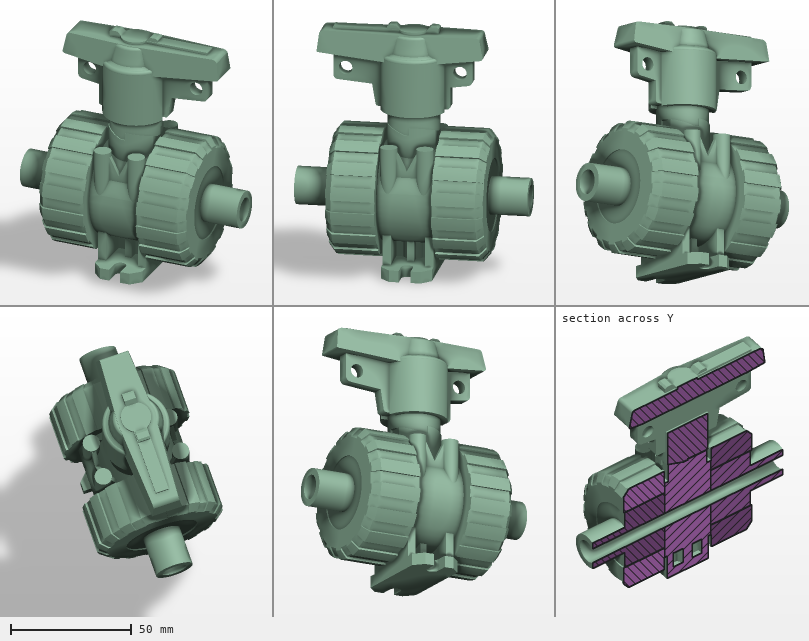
import cadquery as cq
import math

overall_length = 98.0
bore_radius = 5.2
pipe_radius = 8.0
barrel_radius = 21.0
barrel_half_length = 12.0

nut_length = 21.1
nut_ridge_radius = 27.7
nut_floor_radius = 26.6
nut_bevel_length = 2.7
nut_bevel_depth = 3.4
nut_groove_count = 16
nut_groove_width = 5.2

collar_radius = 15.5
collar_recess = 0.6

neck_radius = 11.5
neck_half_width = 10.1
tooth_count = 4
tooth_low = 27.5
tooth_high = 30.7
tooth_flat = 2.3

post_radius = 3.6
post_x = 7.6
post_y = 16.9
post_top = 23.7
web_thickness = 1.9
web_top = 21.5
web_notch_bottom = 13.7
gusset_angle = 67
gusset_thickness = 1.7
gusset_reach = 6.3

foot_bottom = -33.0
foot_thickness = 4.9
foot_half_x = 10.7
foot_half_y = 22.0
foot_corner = 4.1
foot_slot_radius = 2.5
foot_slot_y = 16.2
foot_wall_thickness = 3.6
foot_wall_half_y = 14.4
foot_boss_radius = 4.3
foot_rib_half_thickness = 1.5
foot_rib_half_y = 8.1

sleeve_radius = 11.0
sleeve_top = 47.7
hub_radius = 14.0
hub_bottom = 35.9
hub_straight_top = 58.9
shoulder_radius = 12.7
shoulder_top = 60.5
dome_base_radius = 11.4
dome_base = 61.4
dome_crown_radius = 9.7
dome_crown = 68.2
dome_top_radius = 8.2
dome_top = 69.1
fin_gap_half = 3.6
fin_gap_top = 59.4

grip_top = 69.3
grip_end_bottom = 60.2
grip_mid_bottom = 56.9
grip_left_bottom, grip_left_top = -30.3, -28.4
grip_right_bottom, grip_right_top = 40.3, 38.8
grip_half_width = 9.5
grip_narrowing = 0.062
grip_draft = 7
grip_left_round, grip_right_round = 1.5, 2.3
grip_bottom_round = 1.0

fin_half_thickness = 2.6
fin_left, fin_right = -25.0, 33.4
fin_bottom_outer = 47.7
fin_bottom_inner = 46.4
fin_foot_bottom = 36.9
fin_foot_left, fin_foot_right = -15.7, 15.6
fin_foot_right_top = 17.1
fin_round = 2.1
fin_foot_round = 1.3
fin_hole_left, fin_hole_right = -19.8, 28.3
fin_hole_z = 52.8
fin_hole_radius = 2.8

disc_radius = 6.3
mark_top = 70.5
lug_top = 72.1
lug_inner, lug_inner_top = 5.6, 7.4
lug_outer_top, lug_outer = 9.9, 10.8
lug_bevel = 0.6
lug_half_width = 2.5
pointer_half_width = 2.8

nut_outer_face = barrel_half_length + nut_length
collar_face = nut_outer_face - collar_recess
foot_top = foot_bottom + foot_thickness
grip_height = grip_top - grip_mid_bottom


def x_cylinder(radius, start, end):
    return cq.Workplane("YZ").workplane(offset=start).circle(radius).extrude(end - start)


def z_cylinder(radius, start, end, x=0, y=0):
    return cq.Workplane("XY").workplane(offset=start).center(x, y).circle(radius).extrude(end - start)


def block(half_x, half_y, start, end):
    """Box centred on the Z axis between two heights."""
    return cq.Workplane("XY").workplane(offset=start).rect(2 * half_x, 2 * half_y).extrude(end - start)


def xz_prism(outline, half_y):
    """Closed outline in XZ, extruded to both sides of the XZ plane."""
    return cq.Workplane("XZ").polyline(outline).close().extrude(half_y, both=True)


def tooth_wedges():
    """Sawtooth ramps around Z, one per quadrant, each dropping to a short flat and a step."""
    reach = neck_radius
    ramp = (
        cq.Workplane("XZ")
        .polyline([(-tooth_flat, tooth_low), (-reach, tooth_low), (-reach, tooth_high)])
        .close()
        .extrude(reach)
    )
    wedges = ramp
    for i in range(1, tooth_count):
        wedges = wedges.union(ramp.rotate((0, 0, 0), (0, 0, 1), i * 360 / tooth_count))
    return wedges


def neck():
    column = z_cylinder(neck_radius, 0, tooth_low)
    teeth = tooth_wedges().intersect(z_cylinder(neck_radius, tooth_low, tooth_high))
    return column.union(teeth).intersect(block(neck_half_width, neck_radius, 0, tooth_high))


def guard_web():
    """Wall between the two posts on the +Y side, with a V notch in its top edge."""
    notched = [
        (-post_x, 0),
        (post_x, 0),
        (post_x, web_top),
        (post_x - post_radius, web_top),
        (0, web_notch_bottom),
        (post_radius - post_x, web_top),
        (-post_x, web_top),
    ]
    return xz_prism(notched, web_thickness / 2).translate((0, post_y, 0))


def gusset():
    """Small sloped rib leaving the post at (+X, +Y), with the slope of the notch between posts."""
    slope = (web_top - web_notch_bottom) / (post_x - post_radius)
    outline = [
        (0, 0),
        (gusset_reach, 0),
        (gusset_reach, web_top - slope * (gusset_reach - post_radius)),
        (post_radius, web_top),
        (0, web_top),
    ]
    rib = xz_prism(outline, gusset_thickness / 2).rotate((0, 0, 0), (0, 0, 1), -gusset_angle)
    return rib.translate((post_x, post_y, 0))


def guards():
    """Four posts with their ribs, joined in pairs by the notched webs."""
    post = z_cylinder(post_radius, 0, post_top, post_x, post_y).union(gusset())
    pair = post.union(post.mirror("YZ")).union(guard_web())
    return pair.union(pair.mirror("XZ"))


def foot():
    plate = block(foot_half_x, foot_half_y, foot_bottom, foot_top).edges("|Z").chamfer(foot_corner)
    for side in (-1, 1):
        slot = z_cylinder(foot_slot_radius, foot_bottom, foot_top, 0, side * foot_slot_y)
        mouth = block(foot_slot_radius, foot_slot_radius * 2, foot_bottom, foot_top)
        mouth = mouth.translate((0, side * (foot_slot_y + foot_slot_radius * 2), 0))
        plate = plate.cut(slot).cut(mouth)

    wall = block(foot_wall_thickness / 2, foot_wall_half_y, foot_top, 0)
    wall_x = foot_half_x - foot_wall_thickness / 2
    cross_rib = block(foot_half_x, foot_rib_half_thickness, foot_top, 0)
    long_rib = block(foot_rib_half_thickness, foot_rib_half_y, foot_top, 0)
    return (
        plate.union(wall.translate((wall_x, 0, 0)))
        .union(wall.translate((-wall_x, 0, 0)))
        .union(cross_rib)
        .union(long_rib)
        .union(z_cylinder(foot_boss_radius, foot_top, 0))
    )


def make_body():
    barrel = x_cylinder(barrel_radius, -barrel_half_length, barrel_half_length)
    solid = barrel.union(neck()).union(guards()).union(foot())
    return solid.cut(x_cylinder(bore_radius, -barrel_half_length, barrel_half_length))


def nut_blank(radius):
    """Solid nut turned about X, bevelled at its outer end."""
    outline = [
        (barrel_half_length, 0),
        (barrel_half_length, radius),
        (nut_outer_face - nut_bevel_length, radius),
        (nut_outer_face, radius - nut_bevel_depth),
        (nut_outer_face, 0),
    ]
    return cq.Workplane("XY").polyline(outline).close().revolve(360, (0, 0, 0), (1, 0, 0))


def make_nut():
    """Nut on the +X side: ridged rim with flat-sided grooves between the ridges."""
    groove = cq.Workplane("XY").box(
        nut_length, nut_groove_width, nut_ridge_radius, centered=(False, True, False)
    ).translate((barrel_half_length, 0, pipe_radius))
    ridged = nut_blank(nut_ridge_radius)
    for i in range(nut_groove_count):
        ridged = ridged.cut(groove.rotate((0, 0, 0), (1, 0, 0), i * 360 / nut_groove_count))
    nut = ridged.union(nut_blank(nut_floor_radius))
    return nut.cut(x_cylinder(collar_radius, barrel_half_length, nut_outer_face))


def make_connector():
    """Connector on the +X side: collar inside the nut and a pipe stub."""
    collar = x_cylinder(collar_radius, barrel_half_length, collar_face)
    stub = x_cylinder(pipe_radius, barrel_half_length, overall_length / 2)
    return collar.union(stub).cut(x_cylinder(bore_radius, barrel_half_length, overall_length / 2))


def hub():
    """Turned hub with rounded shoulder and conical dome."""
    diagonal = math.sqrt(0.5)
    shoulder_mid = (
        shoulder_radius + (hub_radius - shoulder_radius) * diagonal,
        hub_straight_top + (shoulder_top - hub_straight_top) * diagonal,
    )
    crown_mid = (
        dome_top_radius + (dome_crown_radius - dome_top_radius) * diagonal,
        dome_crown + (dome_top - dome_crown) * diagonal,
    )
    return (
        cq.Workplane("XZ")
        .moveTo(0, hub_bottom)
        .lineTo(hub_radius, hub_bottom)
        .lineTo(hub_radius, hub_straight_top)
        .threePointArc(shoulder_mid, (shoulder_radius, shoulder_top))
        .lineTo(dome_base_radius, dome_base)
        .lineTo(dome_crown_radius, dome_crown)
        .threePointArc(crown_mid, (dome_top_radius, dome_top))
        .lineTo(0, dome_top)
        .close()
        .revolve(360, (0, 0, 0), (0, 1, 0))
    )


def grip():
    """Drafted bar, widest over the hub, with a shallow V underside."""
    reach = grip_right_bottom
    end_half_width = grip_half_width - grip_narrowing * reach
    plan = (
        cq.Workplane("XY")
        .workplane(offset=grip_mid_bottom)
        .polyline(
            [
                (-reach, -end_half_width),
                (0, -grip_half_width),
                (reach, -end_half_width),
                (reach, end_half_width),
                (0, grip_half_width),
                (-reach, end_half_width),
            ]
        )
        .close()
    )
    bar = plan.extrude(grip_height, taper=grip_draft)
    profile = xz_prism(
        [
            (grip_left_bottom, grip_end_bottom),
            (0, grip_mid_bottom),
            (grip_right_bottom, grip_end_bottom),
            (grip_right_top, grip_top),
            (grip_left_top, grip_top),
        ],
        grip_half_width,
    )
    profile = profile.edges("|Y").edges(">Z").edges("<X").fillet(grip_left_round)
    profile = profile.edges("|Y").edges(">Z").edges(">X").fillet(grip_right_round)
    profile = profile.edges("|Y").edges("<X or >X").fillet(grip_bottom_round)
    return bar.intersect(profile)


def fin():
    """Flat plate below the grip with two locking holes."""
    plate = xz_prism(
        [
            (fin_left, grip_end_bottom),
            (fin_left, fin_bottom_outer),
            (fin_foot_left, fin_bottom_inner),
            (fin_foot_left, fin_foot_bottom),
            (fin_foot_right, fin_foot_bottom),
            (fin_foot_right_top, fin_bottom_inner),
            (fin_right, fin_bottom_outer),
            (fin_right, grip_end_bottom),
        ],
        fin_half_thickness,
    )
    holes = (
        cq.Workplane("XZ")
        .pushPoints([(fin_hole_left, fin_hole_z), (fin_hole_right, fin_hole_z)])
        .circle(fin_hole_radius)
        .extrude(fin_half_thickness, both=True)
    )
    plate = plate.edges("|Y").edges("<X or >X").edges("<Z").fillet(fin_round)
    plate = plate.edges("|Y").edges("<Z").fillet(fin_foot_round)
    return plate.cut(holes)


def grip_marks():
    """Centre disc, two bevelled lugs and the long pointer bar on top of the grip."""
    disc = z_cylinder(disc_radius, dome_crown, mark_top)
    lug = xz_prism(
        [
            (lug_inner, dome_crown),
            (lug_inner, mark_top),
            (lug_inner_top, lug_top),
            (lug_outer_top, lug_top),
            (lug_outer, lug_top - lug_bevel),
            (lug_outer, dome_crown),
        ],
        lug_half_width,
    )
    pointer = xz_prism(
        [(lug_inner, dome_crown), (fin_right, dome_crown), (fin_right, mark_top), (lug_inner, mark_top)],
        pointer_half_width,
    )
    return disc.union(lug).union(lug.mirror("YZ")).union(pointer)


def make_handle():
    fin_gap = block(grip_right_bottom, fin_gap_half, hub_bottom, fin_gap_top)
    sleeve = z_cylinder(sleeve_radius, tooth_low, sleeve_top).cut(tooth_wedges())
    return hub().union(grip()).cut(fin_gap).union(sleeve).union(fin()).union(grip_marks())


body = make_body()
handle = make_handle()
nuts = []
connectors = []
for turn in (0, 180):
    nuts.append(make_nut().rotate((0, 0, 0), (0, 0, 1), turn))
    connectors.append(make_connector().rotate((0, 0, 0), (0, 0, 1), turn))

result = cq.Compound.makeCompound(
    [body.val(), handle.val(), *[nut.val() for nut in nuts], *[end.val() for end in connectors]]
)